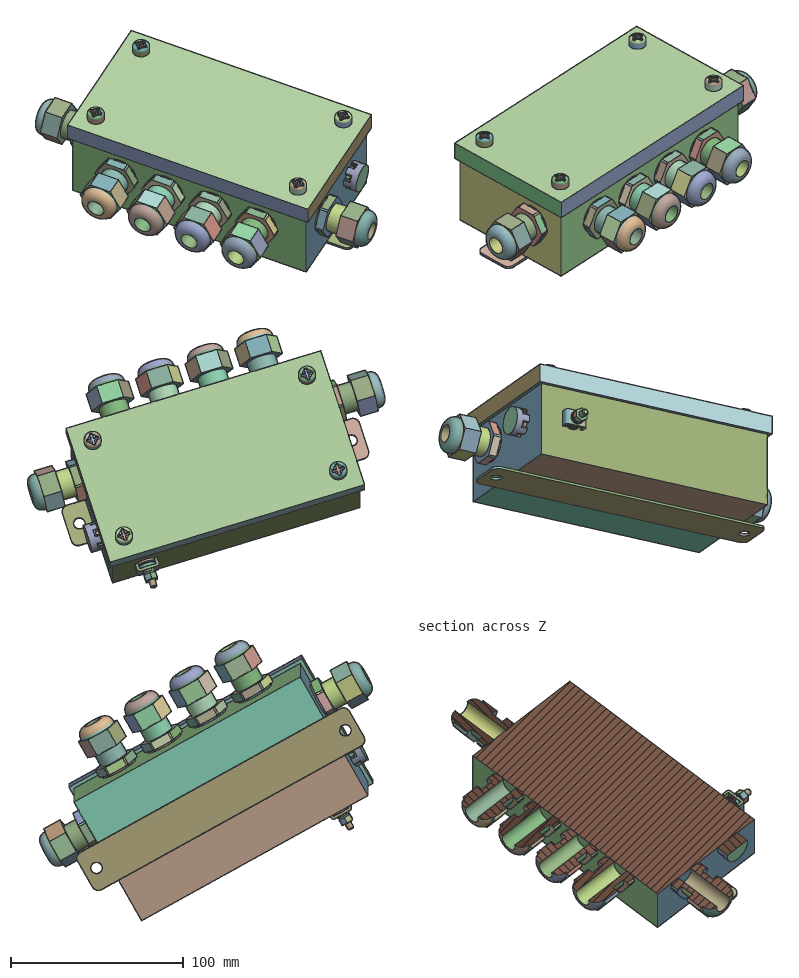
import cadquery as cq
import math

box_x, box_y = 150.2, 80.0
lid_overhang = 2.1
lid_z = 11.0
strap_x, strap_y, strap_z = 180.2, 25.0, 1.5
strap_corner_radius = 4.0
strap_hole_d = 6.5
strap_hole_spacing = 165.0
lid_top = 57.0
screw_pitch_x, screw_pitch_y = 130.0, 60.0
screw_head_d, screw_head_z = 10.0, 5.0
screw_fillet = 1.7
cross_length, cross_width, cross_depth = 7.0, 1.5, 2.5
cross_flare_side, cross_flare_depth = 5.3, 0.6

gland_axis_z = 29.4
gland_pitch = 30.0
gland_count = 4
end_gland_y = -17.7
seal_end = 1.0
collar_end = 6.2
neck_end = 14.5
nut_end = 25.3
gland_length = 31.3
seal_d = 22.0
gland_flats = 22.3
collar_round_d = 25.0
neck_d = 17.2
dome_d = 21.7
dome_fillet = 4.9
gland_bore_d = 10.5

plug_d, plug_length = 16.5, 8.0
plug_y = -end_gland_y
slot_count = 6
slot_width, slot_length, slot_depth = 4.0, 4.0, 1.3
port_width, port_length, port_depth = 2.3, 3.0, 2.5

earth_x, earth_z = 54.9, 26.4
base_lower_end = 1.3
base_groove_end = 2.1
base_end = 4.0
base_d, base_groove_d = 10.5, 9.4
saddle_x, saddle_z = 13.5, 9.4
saddle_thickness = 1.7
saddle_corner_radius = 1.7
saddle_foot = 0.9
washer_start = base_end + saddle_thickness
washer_end = 6.8
washer_d = 7.7
spring_end = 7.9
spring_d = 6.8
earth_nut_end = 11.7
earth_nut_flats = 7.0
stud_d, stud_length = 3.8, 16.2
stud_chamfer = 0.6


def wall_plane(x, y, z, outward, across):
    """Plane on a wall whose normal points outward and whose X axis runs across the wall."""
    return cq.Plane(origin=(x, y, z), xDir=across, normal=outward)


def disc(plane, diameter, start, end):
    """Round disc between two stations along the plane normal."""
    return cq.Workplane(plane).workplane(offset=start).circle(diameter / 2).extrude(end - start)


def hexagon(plane, across_flats, start, end):
    """Hexagonal prism with two corners on the X axis of the plane."""
    across_corners = across_flats / math.cos(math.pi / 6)
    return cq.Workplane(plane).workplane(offset=start).polygon(6, across_corners).extrude(end - start)


def make_screw_head():
    """Round screw head with a cross recess, standing on the XY plane."""
    head = cq.Workplane("XY").circle(screw_head_d / 2).extrude(screw_head_z)
    head = head.faces(">Z").edges().fillet(screw_fillet)
    top = cq.Workplane("XY").workplane(offset=screw_head_z)
    cross = top.rect(cross_length, cross_width).extrude(-cross_depth)
    cross = cross.union(top.rect(cross_width, cross_length).extrude(-cross_depth))
    flare = top.transformed(rotate=(0, 0, 45)).rect(cross_flare_side, cross_flare_side)
    return head.cut(cross).cut(flare.extrude(-cross_flare_depth))


def make_enclosure():
    strap = cq.Workplane("XY").rect(strap_x, strap_y).extrude(strap_z)
    strap = strap.edges("|Z").fillet(strap_corner_radius)
    strap_hole_places = [(-strap_hole_spacing / 2, 0), (strap_hole_spacing / 2, 0)]
    strap = strap.faces(">Z").workplane().pushPoints(strap_hole_places).hole(strap_hole_d)

    box = cq.Workplane("XY").workplane(offset=strap_z).rect(box_x, box_y).extrude(lid_top - strap_z)
    lid = cq.Workplane("XY").workplane(offset=lid_top - lid_z)
    lid = lid.rect(box_x + 2 * lid_overhang, box_y + 2 * lid_overhang).extrude(lid_z)
    body = strap.union(box).union(lid)

    screw_head = make_screw_head()
    for side_x in (-1, 1):
        for side_y in (-1, 1):
            place = (side_x * screw_pitch_x / 2, side_y * screw_pitch_y / 2, lid_top)
            body = body.union(screw_head.translate(place))
    return body


def make_gland(plane):
    """Cable gland seated on a wall, bored through along the plane normal."""
    collar = hexagon(plane, gland_flats, seal_end, collar_end)
    collar = collar.intersect(disc(plane, collar_round_d, seal_end, collar_end))
    dome = disc(plane, dome_d, neck_end, gland_length)
    dome = dome.faces(cq.selectors.DirectionMinMaxSelector(plane.zDir)).edges().fillet(dome_fillet)
    gland = disc(plane, seal_d, 0, seal_end).union(collar)
    gland = gland.union(disc(plane, neck_d, seal_end, nut_end))
    gland = gland.union(hexagon(plane, gland_flats, neck_end, nut_end)).union(dome)
    return gland.cut(disc(plane, gland_bore_d, 0, gland_length))


def make_plug():
    """Breather plug with stepped slots around its foot."""
    plane = wall_plane(box_x / 2, plug_y, gland_axis_z, (1, 0, 0), (0, 1, 0))
    plug = disc(plane, plug_d, 0, plug_length)
    rim = cq.Workplane(plane).center(plug_d / 2, 0)
    slot = rim.rect(2 * slot_depth, slot_width).extrude(slot_length)
    slot = slot.union(rim.rect(2 * port_depth, port_width).extrude(port_length))
    axis_end = plane.origin + plane.zDir
    for i in range(slot_count):
        angle = 90 + i * 360 / slot_count
        plug = plug.cut(slot.rotate(plane.origin.toTuple(), axis_end.toTuple(), angle))
    return plug


def make_saddle(plane):
    """U-shaped clamp whose legs reach back toward the wall on both sides of the base."""
    height = washer_start - saddle_foot
    saddle = cq.Workplane(plane).workplane(offset=saddle_foot).rect(saddle_z, saddle_x).extrude(height)
    saddle = saddle.edges("|Z and >Y").fillet(saddle_corner_radius)
    inside = cq.Workplane(plane).workplane(offset=saddle_foot)
    inside = inside.rect(saddle_z, saddle_x - 2 * saddle_thickness).extrude(base_end - saddle_foot)
    return saddle.cut(inside)


def make_earth_terminal():
    plane = wall_plane(earth_x, box_y / 2, earth_z, (0, 1, 0), (0, 0, 1))
    stud = disc(plane, stud_d, 0, stud_length).faces(">Y").chamfer(stud_chamfer)
    terminal = stud.union(disc(plane, base_d, 0, base_lower_end))
    terminal = terminal.union(disc(plane, base_groove_d, base_lower_end, base_groove_end))
    terminal = terminal.union(disc(plane, base_d, base_groove_end, base_end))
    terminal = terminal.union(make_saddle(plane))
    terminal = terminal.union(disc(plane, washer_d, washer_start, washer_end))
    terminal = terminal.union(disc(plane, spring_d, washer_end, spring_end))
    return terminal.union(hexagon(plane, earth_nut_flats, spring_end, earth_nut_end))


enclosure = make_enclosure()

glands = []
for i in range(gland_count):
    gland_x = (i - (gland_count - 1) / 2) * gland_pitch
    front_wall = wall_plane(gland_x, -box_y / 2, gland_axis_z, (0, -1, 0), (1, 0, 0))
    glands.append(make_gland(front_wall))
for side in (-1, 1):
    end_wall = wall_plane(side * box_x / 2, end_gland_y, gland_axis_z, (side, 0, 0), (0, 1, 0))
    glands.append(make_gland(end_wall))

plug = make_plug()
earth_terminal = make_earth_terminal()

result = cq.Compound.makeCompound(
    [enclosure.val(), *[gland.val() for gland in glands], plug.val(), earth_terminal.val()]
)